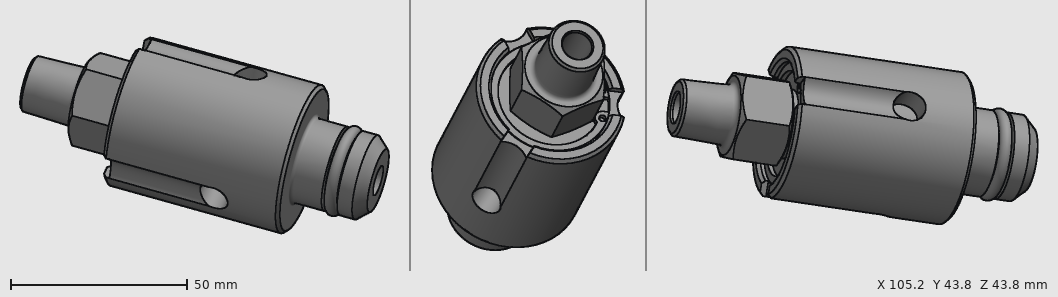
import cadquery as cq
import math


length = 105.2
nipple_end = 15.9
hex_back = 31.6
barrel_front = 29.9
barrel_back = 83.0
ring_centre = 94.9
nose_start = 101.7

tip_diameter = 16.4
nipple_taper = 1 / 16
tip_chamfer = 0.7
nipple_fillet = 1.5
hex_across_flats = 24.0
hex_chamfer_diameter = 22.8
hex_chamfer_angle = 30.0
shaft_diameter = 19.9

barrel_diameter = 43.8
barrel_chamfer = 1.0
recess_diameter = 35.0
recess_mouth_diameter = 36.8
recess_chamfer_depth = 1.0
clip_face = 32.1
clip_thickness = 1.5
recess_floor = clip_face + clip_thickness

neck_diameter = 24.9
neck_fillet = 1.0
nose_diameter = 18.6
groove_diameter = 19.3
groove_width = 4.7

bore_diameter = 8.7
bore_mouth_diameter = 9.4
bore_mouth_depth = 0.6

ring_outer_diameter = 26.5
ring_section_radius = (ring_outer_diameter - groove_diameter) / 4

side_angles = [90.0, 210.0, 330.0]
side_hole_x = 63.1
side_hole_diameter = 9.0
side_hole_floor_radius = 14.0
side_groove_floor_radius = 19.8
side_groove_cutter_radius = 6.5
notch_width = 8.6
notch_floor = 31.8

clip_inner_radius = 15.1
clip_gap = 4.7
clip_ear_radius = 2.2
clip_ear_y = -15.5
clip_ear_z = 4.6
clip_hole_diameter = 2.0


def x_cylinder(start, end, diameter, y=0.0, z=0.0):
    """Cylinder along X between two positions."""
    return (
        cq.Workplane("YZ", origin=(start, y, z))
        .circle(diameter / 2)
        .extrude(end - start)
    )


def x_cone(start, end, start_diameter, end_diameter):
    """Cone along X whose diameter changes from start to end."""
    profile = [(start, 0), (start, start_diameter / 2), (end, end_diameter / 2), (end, 0)]
    return cq.Workplane("XY").polyline(profile).close().revolve(360, (0, 0, 0), (1, 0, 0))


def make_nipple():
    """Tapered nipple with a chamfered tip and a fillet against the hexagon."""
    tip_radius = tip_diameter / 2
    fillet_start = nipple_end - nipple_fillet
    root_radius = tip_radius + fillet_start * nipple_taper / 2
    fillet_top = root_radius + nipple_fillet
    fillet_mid = (
        fillet_start + nipple_fillet * math.sin(math.pi / 4),
        fillet_top - nipple_fillet * math.cos(math.pi / 4),
    )
    return (
        cq.Workplane("XY")
        .moveTo(0, 0)
        .lineTo(0, tip_radius - tip_chamfer)
        .lineTo(tip_chamfer, tip_radius + tip_chamfer * nipple_taper / 2)
        .lineTo(fillet_start, root_radius)
        .threePointArc(fillet_mid, (nipple_end, fillet_top))
        .lineTo(nipple_end, 0)
        .close()
        .revolve(360, (0, 0, 0), (1, 0, 0))
    )


def make_hexagon():
    """Hexagon with corners toward +Z and -Z and both ends chamfered, on a round shaft."""
    corner_diameter = hex_across_flats / math.cos(math.pi / 6)
    bar = (
        cq.Workplane("YZ", origin=(nipple_end, 0, 0))
        .polygon(6, corner_diameter)
        .extrude(hex_back - nipple_end)
        .rotate((0, 0, 0), (1, 0, 0), 90)
    )
    chamfer_radius = hex_chamfer_diameter / 2
    chamfer_length = (corner_diameter / 2 - chamfer_radius) * math.tan(math.radians(hex_chamfer_angle))
    envelope = (
        cq.Workplane("XY")
        .moveTo(nipple_end, 0)
        .lineTo(nipple_end, chamfer_radius)
        .lineTo(nipple_end + chamfer_length, corner_diameter / 2)
        .lineTo(hex_back - chamfer_length, corner_diameter / 2)
        .lineTo(hex_back, chamfer_radius)
        .lineTo(hex_back, 0)
        .close()
        .revolve(360, (0, 0, 0), (1, 0, 0))
    )
    shaft = x_cylinder(nipple_end, recess_floor, shaft_diameter)
    return bar.intersect(envelope).union(shaft)


def make_barrel():
    """Chamfered barrel with a stepped recess in its front face."""
    barrel = x_cylinder(barrel_front, barrel_back, barrel_diameter).edges().chamfer(barrel_chamfer)
    recess = x_cylinder(barrel_front, recess_floor, recess_diameter)
    mouth = x_cone(
        barrel_front,
        barrel_front + recess_chamfer_depth,
        recess_mouth_diameter,
        recess_diameter,
    )
    return barrel.cut(recess).cut(mouth)


def make_side_cutter():
    """Cutter on the +Z side: long groove, end notch and blind hole."""
    groove = x_cylinder(
        barrel_front,
        side_hole_x,
        2 * side_groove_cutter_radius,
        z=side_groove_floor_radius + side_groove_cutter_radius,
    )
    hole = (
        cq.Workplane("XY", origin=(side_hole_x, 0, 0))
        .circle(side_hole_diameter / 2)
        .extrude(barrel_diameter)
        .cut(x_cylinder(0, length, 2 * side_hole_floor_radius))
    )
    notch = cq.Workplane("XY").box(
        notch_floor - barrel_front,
        notch_width,
        barrel_diameter / 2,
        centered=(False, True, False),
    )
    notch = notch.translate((barrel_front, 0, 0)).cut(x_cylinder(0, length, recess_diameter))
    return groove.union(hole).union(notch)


def make_clip():
    """Open retaining clip in the recess, with a drilled ear on each side of its gap at -Y."""
    clip = x_cylinder(clip_face, recess_floor, recess_diameter)
    clip = clip.cut(x_cylinder(clip_face, recess_floor, 2 * clip_inner_radius))
    gap = cq.Workplane("XY").box(
        clip_thickness,
        recess_diameter / 2,
        clip_gap,
        centered=(False, False, True),
    )
    clip = clip.cut(gap.translate((clip_face, -recess_diameter / 2, 0)))
    for z in (-clip_ear_z, clip_ear_z):
        ear = x_cylinder(clip_face, recess_floor, 2 * clip_ear_radius, clip_ear_y, z)
        ear = ear.intersect(x_cylinder(clip_face, recess_floor, recess_diameter))
        clip = clip.union(ear)
        clip = clip.cut(x_cylinder(clip_face, recess_floor, clip_hole_diameter, clip_ear_y, z))
    return clip


def make_neck():
    """Neck with a root fillet, a sealing groove and a conical nose."""
    neck_radius = neck_diameter / 2
    fillet_mid = (
        barrel_back + neck_fillet * (1 - math.sin(math.pi / 4)),
        neck_radius + neck_fillet * (1 - math.cos(math.pi / 4)),
    )
    groove_start = ring_centre - groove_width / 2
    groove_end = ring_centre + groove_width / 2
    return (
        cq.Workplane("XY")
        .moveTo(barrel_back, 0)
        .lineTo(barrel_back, neck_radius + neck_fillet)
        .threePointArc(fillet_mid, (barrel_back + neck_fillet, neck_radius))
        .lineTo(groove_start, neck_radius)
        .lineTo(groove_start, groove_diameter / 2)
        .lineTo(groove_end, groove_diameter / 2)
        .lineTo(groove_end, neck_radius)
        .lineTo(nose_start, neck_radius)
        .lineTo(length, nose_diameter / 2)
        .lineTo(length, 0)
        .close()
        .revolve(360, (0, 0, 0), (1, 0, 0))
    )


def make_body():
    """Whole turned body with its side features and through bore."""
    body = make_barrel()
    side_cutter = make_side_cutter()
    for angle in side_angles:
        body = body.cut(side_cutter.rotate((0, 0, 0), (1, 0, 0), angle))
    body = body.union(make_clip()).union(make_hexagon()).union(make_nipple()).union(make_neck())
    mouth = x_cone(0, bore_mouth_depth, bore_mouth_diameter, bore_diameter)
    return body.cut(x_cylinder(0, length, bore_diameter)).cut(mouth)


def make_sealing_ring():
    """Round-section ring resting on the groove floor."""
    centre_radius = groove_diameter / 2 + ring_section_radius
    return (
        cq.Workplane("XY", origin=(ring_centre, centre_radius, 0))
        .circle(ring_section_radius)
        .revolve(360, (0, -centre_radius, 0), (1, -centre_radius, 0))
    )


body = make_body()
sealing_ring = make_sealing_ring()

result = cq.Compound.makeCompound([body.solids().val(), sealing_ring.val()])